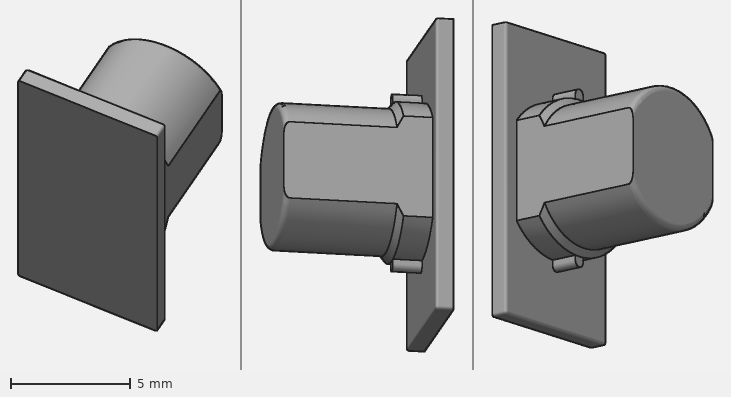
import cadquery as cq

plate_width = 6.6
plate_height = 12.7
plate_thickness = 0.76
plate_corner_radius = 0.13
plate_edge_fillet = 0.13

total_depth = 7.11
plug_diameter = 6.2
plug_width = 5.23
plug_end_fillet = 0.25

collar_diameter = 6.81
collar_length = 1.25
taper_length = 0.28

rib_width = 0.51
rib_span = 7.72

rib_radius = rib_width / 2
rib_center_height = rib_span / 2 - rib_radius
collar_end = plate_thickness + collar_length


def plane_at(y):
    """XZ plane at depth y, with extrusions running toward +Y."""
    return cq.Workplane(cq.Plane(origin=(0, y, 0), xDir=(1, 0, 0), normal=(0, 1, 0)))


def make_plate():
    plate = plane_at(0).rect(plate_width, plate_height).extrude(plate_thickness)
    plate = plate.edges("|Y").fillet(plate_corner_radius)
    return plate.faces(">Y").edges().fillet(plate_edge_fillet)


def make_plug():
    plug = plane_at(0).circle(plug_diameter / 2).extrude(total_depth)
    plug = plug.faces(">Y").edges().fillet(plug_end_fillet)
    collar = plane_at(0).circle(collar_diameter / 2).extrude(collar_end)
    taper = (
        plane_at(collar_end)
        .circle(collar_diameter / 2)
        .workplane(offset=taper_length)
        .circle(plug_diameter / 2)
        .loft(ruled=True)
    )
    flats = plane_at(0).rect(plug_width, plate_height).extrude(total_depth)
    return plug.union(collar).union(taper).intersect(flats)


def make_ribs():
    bar = plane_at(0).rect(rib_width, 2 * rib_center_height).extrude(collar_end)
    tips = (
        plane_at(0)
        .pushPoints([(0, rib_center_height), (0, -rib_center_height)])
        .circle(rib_radius)
        .extrude(collar_end)
    )
    return bar.union(tips)


result = make_plate().union(make_plug()).union(make_ribs())